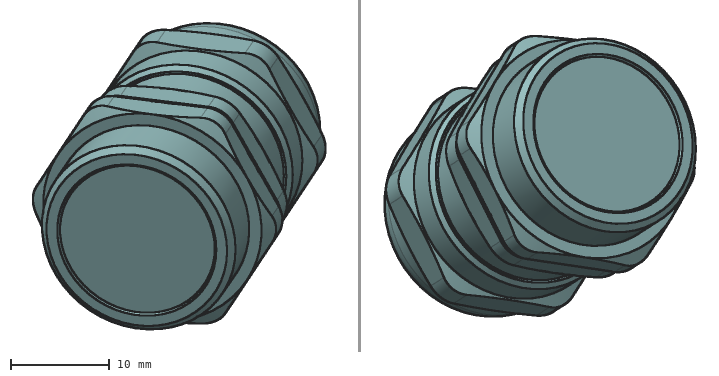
import cadquery as cq
import math

length = 32.85

thread_end = 5.65
lock_nut_end = 8.7
seal_end = 10.0
body_hex_end = 13.0
cap_start = 18.85
cap_hex_start = 22.87
cap_hex_end = 26.85

thread_radius = 20.4 / 2
neck_radius = 20.0 / 2
cap_radius = 21.6 / 2
dome_radius = 4.0
thread_chamfer = 0.7
cap_chamfer = 0.53

seal_edge_radius = 10.68
seal_radius = 11.1

lock_nut_flats = 23.0
gland_flats = 22.0
corner_rounding = 3.0
nut_bevel_angle = 30.0
cap_bevel_angle = 20.0

recess_radius = 8.38
recess_floor_radius = 8.15
recess_depth = 0.23


def cylinder(radius, start, end):
    """Cylinder about Y between two stations."""
    plane = cq.Workplane("XZ", origin=(0, start, 0))
    return plane.circle(radius).extrude(start - end)


def revolve_about_y(profile):
    return profile.close().revolve(360, (0, 0, 0), (0, 1, 0))


def hexagon(flats, start, end, face_radius, bevel_angle, bevel_start, bevel_end):
    """Hexagon with rounded corners, its chosen faces bevelled outside face_radius."""
    corner_diameter = flats / math.cos(math.pi / 6)
    plane = cq.Workplane("XZ", origin=(0, start, 0))
    prism = plane.polygon(6, corner_diameter).extrude(start - end)
    prism = prism.edges("|Y").fillet(corner_rounding)

    outer_radius = corner_diameter / 2
    drop = (outer_radius - face_radius) * math.tan(math.radians(bevel_angle))
    envelope = cq.Workplane("XY").moveTo(0, start)
    if bevel_start:
        envelope = envelope.lineTo(face_radius, start).lineTo(outer_radius, start + drop)
    else:
        envelope = envelope.lineTo(outer_radius, start)
    if bevel_end:
        envelope = envelope.lineTo(outer_radius, end - drop).lineTo(face_radius, end)
    else:
        envelope = envelope.lineTo(outer_radius, end)
    return prism.intersect(revolve_about_y(envelope.lineTo(0, end)))


def seal_ring():
    middle = (lock_nut_end + seal_end) / 2
    profile = (
        cq.Workplane("XY")
        .moveTo(0, lock_nut_end)
        .lineTo(seal_edge_radius, lock_nut_end)
        .threePointArc((seal_radius, middle), (seal_edge_radius, seal_end))
        .lineTo(0, seal_end)
    )
    return revolve_about_y(profile)


def end_recess():
    profile = (
        cq.Workplane("XY")
        .lineTo(recess_radius, 0)
        .lineTo(recess_floor_radius, recess_depth)
        .lineTo(0, recess_depth)
    )
    return revolve_about_y(profile)


thread = cylinder(thread_radius, 0, thread_end).faces("<Y").chamfer(thread_chamfer)
lock_nut = hexagon(
    lock_nut_flats, thread_end, lock_nut_end, lock_nut_flats / 2, nut_bevel_angle, True, False
)
body_hex = hexagon(
    gland_flats, seal_end, body_hex_end, gland_flats / 2, nut_bevel_angle, False, True
)
neck = cylinder(neck_radius, body_hex_end, cap_start)
cap = cylinder(cap_radius, cap_start, length)
cap = cap.faces(">Y").edges().fillet(dome_radius)
cap = cap.faces("<Y").edges().chamfer(cap_chamfer)
cap_hex = hexagon(
    gland_flats, cap_hex_start, cap_hex_end, cap_radius, cap_bevel_angle, True, True
)

result = thread
for section in (lock_nut, seal_ring(), body_hex, neck, cap, cap_hex):
    result = result.union(section)
result = result.cut(end_recess())